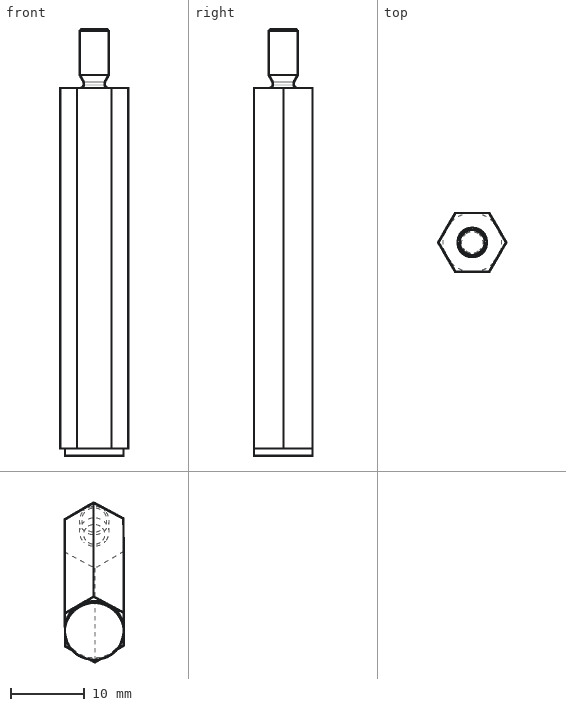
import cadquery as cq
import math

hexagon_sides = 6
across_flats = 8.0
across_corners = across_flats / math.cos(math.pi / hexagon_sides)
body_length = 50.0
collar_height = 1.0
collar_diameter = across_flats

stud_length = 8.0
stud_diameter = 4.0
tip_chamfer = 0.3

neck_diameter = 2.9
undercut_length = 1.75
runout_angle = 30.0
undercut_radius = 0.4

shoulder_z = body_length
stud_top_z = shoulder_z + stud_length


def make_body():
    """Hexagon with two flats facing -Y and +Y, standing on the round collar."""
    collar = cq.Workplane("XY").circle(collar_diameter / 2).extrude(collar_height)
    hexagon = (
        cq.Workplane("XY")
        .workplane(offset=collar_height)
        .polygon(hexagon_sides, across_corners)
        .extrude(body_length - collar_height)
    )
    return collar.union(hexagon)


def make_stud():
    """Stud revolved from its half profile: neck, runout cone, shank and tip chamfer.

    The neck flares into the body with a quarter arc and into the cone with a tangent arc.
    """
    neck_radius = neck_diameter / 2
    stud_radius = stud_diameter / 2
    runout = math.radians(runout_angle)
    runout_height = (stud_radius - neck_radius) / math.tan(runout)
    shank_bottom_z = shoulder_z + undercut_length

    foot_radius = neck_radius + undercut_radius
    foot_top_z = shoulder_z + undercut_radius
    foot_mid_offset = undercut_radius * (1 - math.sin(math.radians(45)))

    tangent_length = undercut_radius * math.tan(runout / 2)
    arc_start_z = shank_bottom_z - runout_height - tangent_length
    arc_mid_radius = neck_radius + undercut_radius * (1 - math.cos(runout / 2))
    arc_mid_z = arc_start_z + undercut_radius * math.sin(runout / 2)
    arc_end_radius = neck_radius + undercut_radius * (1 - math.cos(runout))
    arc_end_z = arc_start_z + undercut_radius * math.sin(runout)

    profile = (
        cq.Workplane("YZ")
        .moveTo(0, shoulder_z)
        .lineTo(foot_radius, shoulder_z)
        .threePointArc(
            (neck_radius + foot_mid_offset, shoulder_z + foot_mid_offset),
            (neck_radius, foot_top_z),
        )
        .lineTo(neck_radius, arc_start_z)
        .threePointArc((arc_mid_radius, arc_mid_z), (arc_end_radius, arc_end_z))
        .lineTo(stud_radius, shank_bottom_z)
        .lineTo(stud_radius, stud_top_z - tip_chamfer)
        .lineTo(stud_radius - tip_chamfer, stud_top_z)
        .lineTo(0, stud_top_z)
        .close()
    )
    return profile.revolve(360, (0, 0, 0), (0, 1, 0))


result = make_body().union(make_stud())